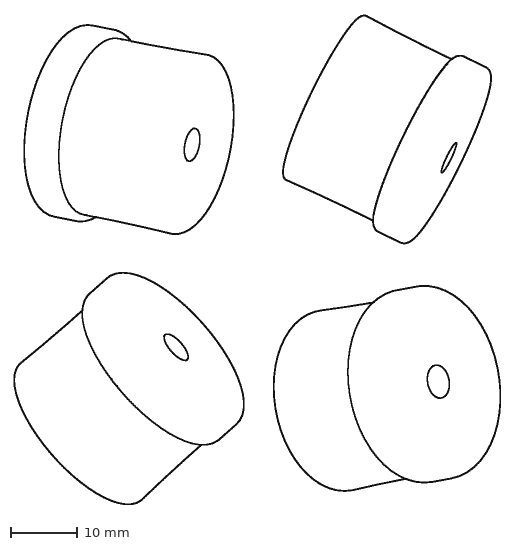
import cadquery as cq

total_length = 21.23
bore_diameter = 5.0

flange_diameter = 29.4
flange_thickness = 5.7
flange_rounding = 1.0

plug_root_radius = 13.52
plug_waist_radius = 13.55
plug_end_radius = 13.75
plug_rounding = 0.5

front_x = -total_length / 2
joint_x = front_x + flange_thickness
end_x = front_x + total_length
flare_end_x = end_x - plug_rounding
waist_x = (joint_x + flare_end_x) / 2


def make_flange():
    """Disc with both rims rounded and a central bore."""
    disc = (
        cq.Workplane("YZ", origin=(front_x, 0, 0))
        .circle(flange_diameter / 2)
        .extrude(flange_thickness)
    )
    return disc.edges().fillet(flange_rounding).faces("<X").workplane().hole(bore_diameter)


def make_plug():
    """Slightly flared plug with a rounded far rim, revolved around its bore."""
    bore_radius = bore_diameter / 2
    profile = (
        cq.Workplane("XY")
        .moveTo(joint_x, bore_radius)
        .lineTo(joint_x, plug_root_radius)
        .threePointArc((waist_x, plug_waist_radius), (flare_end_x, plug_end_radius))
        .radiusArc((end_x, plug_end_radius - plug_rounding), plug_rounding)
        .lineTo(end_x, bore_radius)
        .close()
    )
    return profile.revolve(360, (0, 0, 0), (1, 0, 0))


flange = make_flange()
plug = make_plug()

result = cq.Compound.makeCompound([flange.val(), plug.val()])